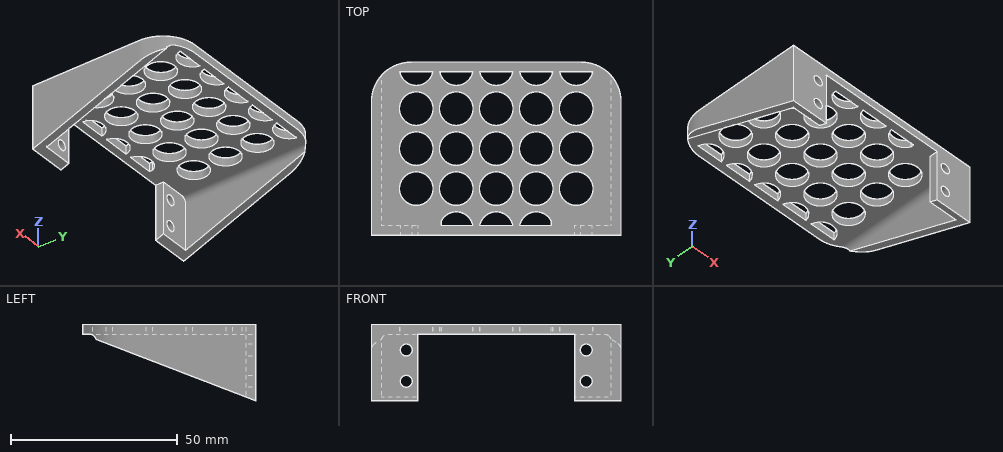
import cadquery as cq

width = 75.0
depth = 52.0
height = 23.0
wall = 3.0
corner_radius = 12.0

inner_width = width - 2 * wall
inner_fillet = 2.0
opening_width = 47.0

hole_diameter = 10.0
hole_pitch = 12.0
hole_columns = 5
hole_rows = 5
front_row_half_width = 16.5

screw_diameter = 3.5
screw_spacing_x = 54.0
screw_spacing_z = 9.4
upper_screw_depth = 7.7


def box_between(x_range, y_range, z_range):
    """Axis-aligned box given by its limits on each axis."""
    size = [high - low for low, high in (x_range, y_range, z_range)]
    corner = (x_range[0], y_range[0], z_range[0])
    return cq.Workplane("XY").box(*size, centered=False).translate(corner)


def make_wedge():
    """Solid wedge, full height in front and one plate thickness at the rear."""
    return (
        cq.Workplane("YZ")
        .polyline([(0, 0), (depth, 0), (depth, -wall), (0, -height)])
        .close()
        .extrude(width / 2, both=True)
        .edges("|Z and >Y")
        .fillet(corner_radius)
    )


def make_cavity():
    """Space behind the flange and between the side walls, open to the rear."""
    cavity = box_between((-inner_width / 2, inner_width / 2), (wall, depth), (-height, -wall))
    return cavity.edges("|Y and >Z").fillet(inner_fillet)


def make_front_opening():
    """Gap through the front flange that leaves one leg on each side."""
    return box_between((-opening_width / 2, opening_width / 2), (0, wall), (-height, -wall))


def make_plate_holes():
    """Square grid of holes, cut straight along the front and rear margins."""
    holes = (
        cq.Workplane("XY")
        .center(0, depth / 2)
        .rarray(hole_pitch, hole_pitch, hole_columns, hole_rows)
        .circle(hole_diameter / 2)
        .extrude(-wall)
    )
    front_row_end = depth / 2 - (hole_rows / 2 - 1) * hole_pitch
    front_area = box_between(
        (-front_row_half_width, front_row_half_width), (wall, front_row_end), (-wall, 0)
    )
    main_area = box_between((-width / 2, width / 2), (front_row_end, depth - wall), (-wall, 0))
    return holes.intersect(front_area.union(main_area))


def make_screw_holes():
    """Two screw holes, one above the other, through each leg."""
    middle_z = -upper_screw_depth - screw_spacing_z / 2
    return (
        cq.Workplane("XZ")
        .center(0, middle_z)
        .rarray(screw_spacing_x, screw_spacing_z, 2, 2)
        .circle(screw_diameter / 2)
        .extrude(-wall)
    )


result = (
    make_wedge()
    .cut(make_cavity())
    .cut(make_front_opening())
    .cut(make_plate_holes())
    .cut(make_screw_holes())
)